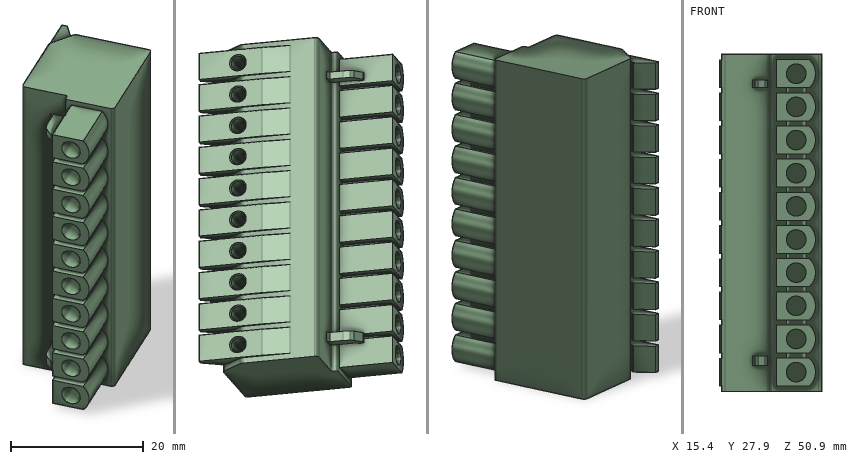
import cadquery as cq
import math


length = 50.9
body_width = 15.1
body_depth = 16.7
step_width = 7.3
step_depth = 0.95
bevel_x = 2.85
bevel_y = 3.65
corner_radius = 0.5
bevel_radius = 0.75
step_radius = 0.25

pole_count = 10
end_margin = 2.95
pitch = (length - 2 * end_margin) / (pole_count - 1)
pole_centres = [end_margin + i * pitch for i in range(pole_count)]

plug_left = 8.3
plug_length = 8.35
plug_height = 4.2
plug_round_radius = 2.9
socket_x = 11.25
socket_diameter = 2.95
web_length = 5.8

lever_height = 4.15
lever_proud = 0.3
lever_tip_overhang = 2.85
lever_tip_width = 0.85
lever_nose_x = 2.25
lever_notch_x = 2.0
lever_notch_depth = 0.35
lever_taper_start = 9.6
lever_taper_end = 5.35

wire_hole_y = 13.45
wire_hole_diameter = 2.2
wire_hole_chamfer = 0.2
wire_hole_depth = 7.65

latches = [(3.9, 1.5), (45.85, 1.1)]
latch_left = 5.05
latch_right = 6.65
latch_root_flare = 0.4
latch_straight_end = -1.5
latch_knee = (5.2, -2.55)
latch_tip_start = (5.45, -3.1)
latch_tip_end = (6.5, -4.2)
latch_point = (6.8, -4.25)
latch_barb = 0.35
latch_barb_bottom = -3.95
latch_barb_top = -3.45


def round_edge(solid, x, y, radius):
    """Fillet the upright edge at (x, y)."""
    nearest = cq.selectors.NearestToPointSelector((x, y, length / 2))
    return solid.edges("|Z").edges(nearest).fillet(radius)


def make_body():
    """Housing block with one bevelled edge and a stepped plug side."""
    body = (
        cq.Workplane("XY")
        .polyline([
            (0, step_depth),
            (step_width, step_depth),
            (step_width, 0),
            (body_width, 0),
            (body_width, body_depth),
            (bevel_x, body_depth),
            (0, body_depth - bevel_y),
        ])
        .close()
        .extrude(length)
    )
    body = round_edge(body, 0, step_depth, corner_radius)
    body = round_edge(body, body_width, 0, corner_radius)
    body = round_edge(body, body_width, body_depth, corner_radius)
    body = round_edge(body, bevel_x, body_depth, bevel_radius)
    body = round_edge(body, 0, body_depth - bevel_y, bevel_radius)
    body = round_edge(body, step_width, 0, step_radius)
    return round_edge(body, step_width, step_depth, step_radius)


def make_plug(z):
    """Finger with a rounded far side concentric with its socket."""
    half = plug_height / 2
    arc_start = socket_x + math.sqrt(plug_round_radius**2 - half**2)
    return (
        cq.Workplane("XZ")
        .moveTo(plug_left, z - half)
        .lineTo(arc_start, z - half)
        .threePointArc((socket_x + plug_round_radius, z), (arc_start, z + half))
        .lineTo(plug_left, z + half)
        .close()
        .extrude(plug_length)
    )


def make_web():
    """Bar that joins all the fingers."""
    web_height = pole_centres[-1] - pole_centres[0]
    return (
        cq.Workplane("XY")
        .box(socket_diameter, web_length, web_height, centered=(True, False, False))
        .translate((socket_x, -web_length, pole_centres[0]))
    )


def make_lever(z):
    """Lever lying on the wire-entry face, its wedge tip past the bevel."""
    tip_y = body_depth + lever_tip_overhang
    notch_y = body_depth - lever_notch_depth
    return (
        cq.Workplane("XY")
        .workplane(offset=z - lever_height / 2)
        .polyline([
            (0, lever_taper_end),
            (-lever_proud, lever_taper_start),
            (-lever_proud, tip_y),
            (lever_tip_width - lever_proud, tip_y),
            (lever_nose_x, body_depth),
            (lever_notch_x, notch_y),
            (lever_notch_x, lever_taper_end),
        ])
        .close()
        .extrude(lever_height)
    )


def make_latch(z, height):
    """Hook beside the fingers with a flared root and a slanted tip."""
    return (
        cq.Workplane("XY")
        .workplane(offset=z)
        .polyline([
            (latch_left - latch_root_flare, step_depth),
            (latch_left, step_depth - latch_root_flare),
            (latch_left, latch_straight_end),
            latch_knee,
            latch_tip_start,
            latch_tip_end,
            latch_point,
            (latch_right + latch_barb, latch_barb_bottom),
            (latch_right + latch_barb, latch_barb_top),
            (latch_right, latch_barb_top + latch_barb),
            (latch_right, step_depth),
        ])
        .close()
        .extrude(height)
    )


def make_socket(z):
    """Round bore along the full length of a finger."""
    return cq.Workplane("XZ").center(socket_x, z).circle(socket_diameter / 2).extrude(plug_length)


def make_wire_hole(z):
    """Blind hole with a chamfered mouth, revolved about its axis along X."""
    radius = wire_hole_diameter / 2
    return (
        cq.Workplane("XY")
        .workplane(offset=z)
        .polyline([
            (-lever_proud, wire_hole_y),
            (-lever_proud, wire_hole_y + radius + wire_hole_chamfer),
            (wire_hole_chamfer - lever_proud, wire_hole_y + radius),
            (wire_hole_depth, wire_hole_y + radius),
            (wire_hole_depth, wire_hole_y),
        ])
        .close()
        .revolve(360, (0, wire_hole_y, 0), (1, wire_hole_y, 0))
    )


result = make_body().union(make_web())
for centre in pole_centres:
    result = result.union(make_plug(centre)).union(make_lever(centre))
for latch_z, latch_height in latches:
    result = result.union(make_latch(latch_z, latch_height))
for centre in pole_centres:
    result = result.cut(make_socket(centre)).cut(make_wire_hole(centre))